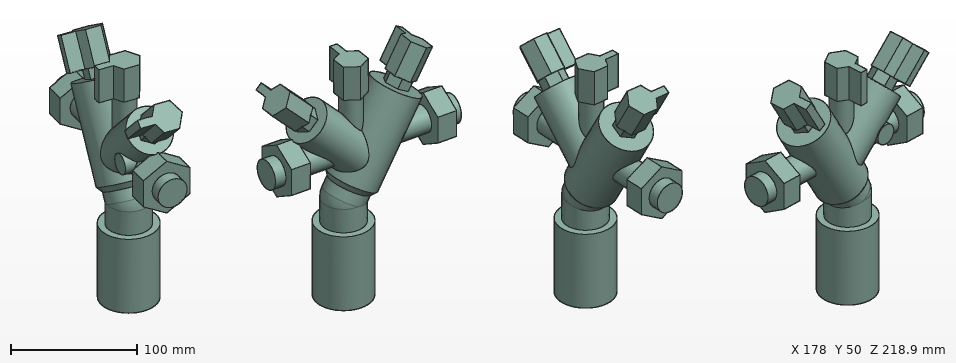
import cadquery as cq
import math

CROSS_LENGTH = 178.0
CROSS_DIAMETER = 24.0
STUB_DIAMETER = 26.0
STUB_LENGTH = 10.0
NUT_THICKNESS = 18.0
NUT_ACROSS_FLATS = 42.0

JOINT = (15.1, 0.0, -46.4)
BEND_RADIUS = 1.0
NECK_DIAMETER = 38.0
NECK_LENGTH = 22.0
BASE_DIAMETER = 50.0
BASE_LENGTH = 69.14

BARREL_LEAN = -30.0
BARREL_DIAMETER = 46.0
TAPER_START = 10.0
TAPER_END = 15.0
BARREL_TOP = 100.0

BRANCH_LEAN = 45.0
BRANCH_DIAMETER = 40.0
BRANCH_LENGTH = 75.0
BRANCH_TOP = (50.5, 0.0, 37.5)

GRIP_ACROSS_FLATS = 24.0
GRIP_LENGTH = 31.0
BLADE_THICKNESS = 7.0
BLADE_REACH = 25.0
SPINDLE_ACROSS_FLATS = 20.0
BARREL_SPINDLE_LENGTH = 9.0
BRANCH_SPINDLE_LENGTH = 10.0

STEM_X = 8.0
STEM_DIAMETER = 20.0
STEM_TOP = 49.0

PORT_DIAMETER = 18.0
PORT_X = 38.0
PORT_Z = 5.0
PORT_REACH = 20.0


def lean_direction(lean):
    """Unit vector in the XZ plane, tilted from +Z toward +X by lean degrees."""
    angle = math.radians(lean)
    return cq.Vector(math.sin(angle), 0, math.cos(angle))


def leaning_plane(origin, lean):
    """Workplane whose normal leans in the XZ plane and whose local Y is the part's Y."""
    normal = lean_direction(lean)
    x_dir = cq.Vector(normal.z, 0, -normal.x)
    return cq.Workplane(cq.Plane(origin=origin, xDir=x_dir, normal=normal))


def along(origin, lean, distance):
    """Point at a distance from origin along a leaning axis."""
    return (cq.Vector(*origin) + lean_direction(lean) * distance).toTuple()


def hexagon(plane, across_flats, length, corner_angle):
    """Hexagonal prism with one corner at corner_angle from local X."""
    corner_diameter = across_flats / math.cos(math.pi / 6)
    turned = plane.transformed(rotate=(0, 0, corner_angle))
    return turned.polygon(6, corner_diameter).extrude(length)


def handle(origin, lean):
    """Hexagonal grip with its lever blade, standing on origin."""
    grip = hexagon(leaning_plane(origin, lean), GRIP_ACROSS_FLATS, GRIP_LENGTH, 90)
    blade = (
        leaning_plane(origin, lean)
        .center(0, -BLADE_REACH / 2)
        .rect(BLADE_THICKNESS, BLADE_REACH)
        .extrude(GRIP_LENGTH)
    )
    return grip.union(blade)


def spindle_and_handle(origin, lean, spindle_length):
    """Hexagonal spindle rising from a barrel's end face, topped by a handle."""
    spindle = hexagon(leaning_plane(origin, lean), SPINDLE_ACROSS_FLATS, spindle_length, 0)
    return spindle.union(handle(along(origin, lean, spindle_length), lean))


def cross_pipe():
    pipe = cq.Workplane("YZ").circle(CROSS_DIAMETER / 2).extrude(CROSS_LENGTH / 2, both=True)
    nut_inner = CROSS_LENGTH / 2 - STUB_LENGTH - NUT_THICKNESS
    for side in (-1, 1):
        nut_plane = cq.Workplane("YZ", origin=(side * nut_inner, 0, 0))
        nut = hexagon(nut_plane, NUT_ACROSS_FLATS, side * NUT_THICKNESS, 90)
        stub = (
            cq.Workplane("YZ", origin=(side * CROSS_LENGTH / 2, 0, 0))
            .circle(STUB_DIAMETER / 2)
            .extrude(-side * STUB_LENGTH)
        )
        pipe = pipe.union(nut).union(stub)
    return pipe


def bend_end():
    """Centre of the bend's upper end, where the main barrel starts."""
    angle = math.radians(-BARREL_LEAN)
    joint_x, joint_y, joint_z = JOINT
    return (
        joint_x - BEND_RADIUS * (1 - math.cos(angle)),
        joint_y,
        joint_z + BEND_RADIUS * math.sin(angle),
    )


def base_and_elbow():
    """Vertical base and neck, with the outside of the bend swept about its pivot."""
    neck = cq.Workplane("XY", origin=JOINT).circle(NECK_DIAMETER / 2).extrude(-NECK_LENGTH)
    base = neck.faces("<Z").workplane().circle(BASE_DIAMETER / 2).extrude(BASE_LENGTH)
    neck_radius = NECK_DIAMETER / 2
    inner_half_height = math.sqrt(neck_radius**2 - BEND_RADIUS**2)
    bend = (
        cq.Workplane("XY", origin=JOINT)
        .moveTo(-BEND_RADIUS, -inner_half_height)
        .threePointArc((neck_radius, 0), (-BEND_RADIUS, inner_half_height))
        .close()
        .revolve(-BARREL_LEAN, (-BEND_RADIUS, 1), (-BEND_RADIUS, -1))
    )
    return base.union(bend)


def main_barrel():
    """Round barrel rising from the joint, tapered down to the neck at its lower end."""
    half_section = [
        (0, 0),
        (NECK_DIAMETER / 2, 0),
        (NECK_DIAMETER / 2, TAPER_START),
        (BARREL_DIAMETER / 2, TAPER_END),
        (BARREL_DIAMETER / 2, BARREL_TOP),
        (0, BARREL_TOP),
    ]
    upright = cq.Workplane("XZ").polyline(half_section).close().revolve(360, (0, 0), (0, 1))
    return upright.rotate((0, 0, 0), (0, 1, 0), BARREL_LEAN).translate(bend_end())


def branch_barrel():
    return leaning_plane(BRANCH_TOP, BRANCH_LEAN).circle(BRANCH_DIAMETER / 2).extrude(-BRANCH_LENGTH)


def upright_stem():
    stem = cq.Workplane("XY", origin=(STEM_X, 0, 0)).circle(STEM_DIAMETER / 2).extrude(STEM_TOP)
    return stem.union(handle((STEM_X, 0, STEM_TOP), 0))


def side_port():
    return cq.Workplane("XZ", origin=(PORT_X, 0, PORT_Z)).circle(PORT_DIAMETER / 2).extrude(PORT_REACH)


barrel_end = along(bend_end(), BARREL_LEAN, BARREL_TOP)

result = (
    base_and_elbow()
    .union(main_barrel())
    .union(branch_barrel())
    .union(cross_pipe())
    .union(upright_stem())
    .union(side_port())
    .union(spindle_and_handle(barrel_end, BARREL_LEAN, BARREL_SPINDLE_LENGTH))
    .union(spindle_and_handle(BRANCH_TOP, BRANCH_LEAN, BRANCH_SPINDLE_LENGTH))
)